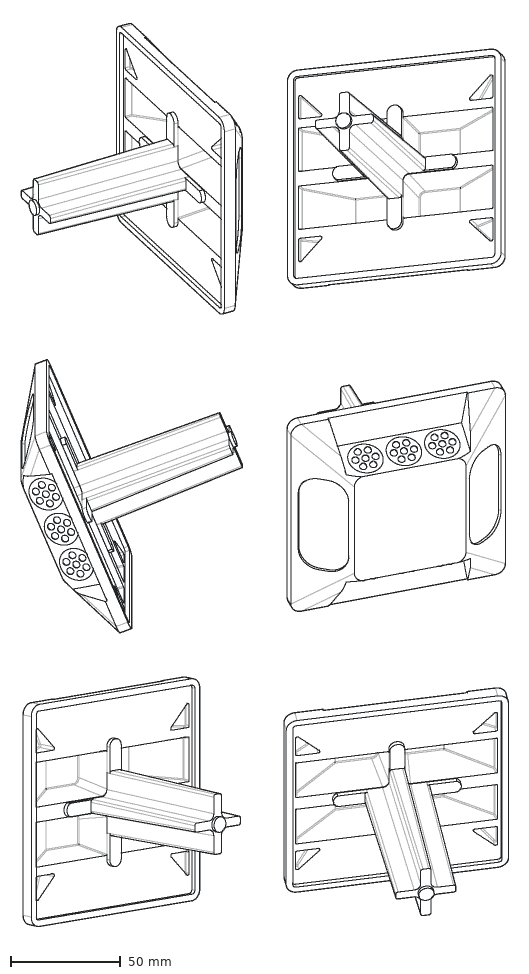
import cadquery as cq
import math


BASE_SIZE = 103.0
CORNER_RADIUS = 5.0
RIM_HEIGHT = 5.7
CAP_HEIGHT = 22.8
TOP_HALF_X = 26.8
TOP_HALF_Z = 28.8
BASE_HALF = BASE_SIZE / 2
SLOPE_RUN = BASE_HALF - TOP_HALF_X
SLOPE_RISE = CAP_HEIGHT - RIM_HEIGHT

GRIP_LENGTH = 50.1
GRIP_WIDTH = 23.9
GRIP_RADIUS = 9.8
GRIP_DEPTH = 1.3
GRIP_CENTRE_Y = 14.4

PANEL_TILT = 20.0
PANEL_TOP_Z = 28.6
PANEL_FLOOR_Y = 4.8
PANEL_HALF_WIDTH = 30.7
NOTCH_HALF_WIDTH = 33.4
PANEL_DROP = CAP_HEIGHT - PANEL_FLOOR_Y
PANEL_FOOT_Z = PANEL_TOP_Z + PANEL_DROP * math.tan(math.radians(PANEL_TILT))

REFLECTOR_RADIUS = 8.1
REFLECTOR_THICKNESS = 2.1
REFLECTOR_PITCH = 18.4
REFLECTOR_CENTRE_Y = 13.8
BEAD_RADIUS = 1.6
BEAD_PITCH = 4.8
BEADS_ON_RING = 6

RIM_WIDTH = 3.1
TRAY_DEPTH = 2.1
TRAY_RADIUS = 1.5
HOLLOW_TOP_Y = 19.4
HOLLOW_TOP_HALF_X = 25.2
HOLLOW_OUTER_X = 46.8

POCKET_OPEN_Z = (3.5, 24.3)
POCKET_ROOF_Z = (6.7, 21.6)
POCKET_ROOF_X = (5.5, 42.2)
POCKET_EDGE_RADIUS = 0.5
TRIANGLE_INNER_X = 34.4
TRIANGLE_LOW_Z = 28.6
TRIANGLE_HIGH_Z = 41.0
TRIANGLE_CORNER_RADIUS = 0.8

STEM_LENGTH = 69.7
STEM_TAPER = 0.9
LEG_REACH = 15.0
LEG_HALF_X = 3.5
LEG_HALF_Z = 3.2
LEG_EDGE_RADIUS = 1.1
STEM_FILLET = 3.0
RIB_REACH = 29.7
TIP_RADIUS = 3.6
TIP_LENGTH = 1.5


def plan(y):
    """Workplane at height y with local x = X, local y = Z and its normal along -Y."""
    return cq.Workplane("XZ", origin=(0, y, 0))


def rounded_section(y, half_x, half_z):
    """Rounded rectangle at height y, placed on the plan at Y = 0."""
    sketch = cq.Sketch().rect(2 * half_x, 2 * half_z).vertices().fillet(CORNER_RADIUS)
    return sketch.moved(cq.Location(cq.Vector(0, 0, -y)))


def make_cap():
    rim = plan(0).rect(BASE_SIZE, BASE_SIZE).extrude(-RIM_HEIGHT).edges("|Y").fillet(CORNER_RADIUS)
    base = rounded_section(RIM_HEIGHT, BASE_HALF, BASE_HALF)
    top = rounded_section(CAP_HEIGHT, TOP_HALF_X, TOP_HALF_Z)
    crown = plan(0).placeSketch(base, top).loft(ruled=True)
    return rim.union(crown)


def make_grip_cutter():
    """Rounded block sunk into the +X slope."""
    centre_x = BASE_HALF - (GRIP_CENTRE_Y - RIM_HEIGHT) * SLOPE_RUN / SLOPE_RISE
    normal = (SLOPE_RISE, SLOPE_RUN, 0)
    slope = cq.Plane(origin=(centre_x, GRIP_CENTRE_Y, 0), xDir=(0, 0, 1), normal=normal)
    outline = cq.Sketch().rect(GRIP_LENGTH, GRIP_WIDTH).vertices().fillet(GRIP_RADIUS)
    return cq.Workplane(slope).placeSketch(outline).extrude(-GRIP_DEPTH)


def make_panel_cutter():
    """Notch in the +Z slope: tilted back wall, level floor, side walls flaring outward."""
    profile = [
        (PANEL_FLOOR_Y, PANEL_FOOT_Z),
        (CAP_HEIGHT, PANEL_TOP_Z),
        (CAP_HEIGHT, BASE_HALF),
        (PANEL_FLOOR_Y, BASE_HALF),
    ]
    wedge = cq.Workplane("YZ").polyline(profile).close().extrude(BASE_HALF, both=True)
    flare = (NOTCH_HALF_WIDTH - PANEL_HALF_WIDTH) / (BASE_HALF - PANEL_FOOT_Z)
    inner_half = PANEL_HALF_WIDTH - flare * PANEL_FOOT_Z
    outline = [
        (-inner_half, 0),
        (inner_half, 0),
        (NOTCH_HALF_WIDTH, BASE_HALF),
        (-NOTCH_HALF_WIDTH, BASE_HALF),
    ]
    return wedge.intersect(plan(0).polyline(outline).close().extrude(-CAP_HEIGHT))


def make_reflector(x):
    """Disc set flush in the +Z panel, with a centre bead and a ring of beads."""
    tilt = math.radians(PANEL_TILT)
    centre_z = PANEL_FOOT_Z - (REFLECTOR_CENTRE_Y - PANEL_FLOOR_Y) * math.tan(tilt)
    normal = (0, math.sin(tilt), math.cos(tilt))
    panel = cq.Plane(origin=(x, REFLECTOR_CENTRE_Y, centre_z), xDir=(1, 0, 0), normal=normal)
    disc = cq.Workplane(panel).circle(REFLECTOR_RADIUS).extrude(-REFLECTOR_THICKNESS)
    beads = (
        cq.Workplane(panel)
        .polarArray(BEAD_PITCH, 0, 360, BEADS_ON_RING)
        .sphere(BEAD_RADIUS, combine=False)
        .add(cq.Workplane(panel).sphere(BEAD_RADIUS))
    )
    for bead in beads.vals():
        disc = disc.union(cq.Workplane(bead))
    return disc


def make_hollow_limit():
    """Space under the cap's roof, with ramps parallel to the X slopes."""
    ramp_drop = (HOLLOW_OUTER_X - HOLLOW_TOP_HALF_X) * SLOPE_RISE / SLOPE_RUN
    ramp_foot_y = HOLLOW_TOP_Y - ramp_drop
    profile = [
        (-HOLLOW_OUTER_X, 0),
        (-HOLLOW_OUTER_X, ramp_foot_y),
        (-HOLLOW_TOP_HALF_X, HOLLOW_TOP_Y),
        (HOLLOW_TOP_HALF_X, HOLLOW_TOP_Y),
        (HOLLOW_OUTER_X, ramp_foot_y),
        (HOLLOW_OUTER_X, 0),
    ]
    return cq.Workplane("XY").polyline(profile).close().extrude(BASE_HALF, both=True)


def rectangle_wire(y, x_range, z_range):
    corners = [
        (x_range[0], y, z_range[0]),
        (x_range[1], y, z_range[0]),
        (x_range[1], y, z_range[1]),
        (x_range[0], y, z_range[1]),
    ]
    return cq.Wire.makePolygon([cq.Vector(*corner) for corner in corners], close=True)


def make_pocket():
    """Drafted pocket beside the ribs, in the +X +Z quadrant."""
    opening = rectangle_wire(TRAY_DEPTH, (LEG_HALF_X, HOLLOW_OUTER_X), POCKET_OPEN_Z)
    roof = rectangle_wire(HOLLOW_TOP_Y, POCKET_ROOF_X, POCKET_ROOF_Z)
    pocket = cq.Workplane(cq.Solid.makeLoft([opening, roof], True))
    stem_corner = cq.selectors.NearestToPointSelector((LEG_HALF_X, HOLLOW_TOP_Y / 2, LEG_HALF_Z))
    pocket = pocket.edges(stem_corner).fillet(STEM_FILLET)
    pocket = pocket.intersect(make_hollow_limit())
    opening_edges = pocket.faces("<Y").edges().vals()
    stem_fillet_sides = pocket.faces(stem_corner).edges().vals()
    sharp_edges = [
        edge
        for edge in pocket.edges().vals()
        if not any(edge.isSame(kept) for kept in opening_edges + stem_fillet_sides)
    ]
    return pocket.newObject(sharp_edges).fillet(POCKET_EDGE_RADIUS)


def make_triangle():
    """Triangular pocket with a sloped floor, near the corner of the +X +Z quadrant."""
    corners = [
        (HOLLOW_OUTER_X, TRIANGLE_LOW_Z),
        (HOLLOW_OUTER_X, TRIANGLE_HIGH_Z),
        (TRIANGLE_INNER_X, TRIANGLE_LOW_Z),
    ]
    prism = plan(0).polyline(corners).close().extrude(-HOLLOW_TOP_Y)
    prism = prism.edges("|Y").fillet(TRIANGLE_CORNER_RADIUS)
    triangle = prism.intersect(make_hollow_limit())
    return triangle.faces(">Y").edges().fillet(POCKET_EDGE_RADIUS)


def make_tray():
    side = BASE_SIZE - 2 * RIM_WIDTH
    return plan(0).rect(side, side).extrude(-TRAY_DEPTH).edges("|Y").fillet(TRAY_RADIUS)


def make_leg_pair(half_x, half_z):
    """Tapered bar from the tray floor to the stem's end."""
    growth = TRAY_DEPTH * math.tan(math.radians(STEM_TAPER))
    bar = plan(TRAY_DEPTH).rect(2 * (half_x + growth), 2 * (half_z + growth))
    return bar.extrude(TRAY_DEPTH + STEM_LENGTH, taper=STEM_TAPER)


def make_stem():
    upright = make_leg_pair(LEG_HALF_X, LEG_REACH).edges("not(|X or |Z)")
    level = make_leg_pair(LEG_REACH, LEG_HALF_Z).edges("not(|X or |Z)")
    cross = upright.fillet(LEG_EDGE_RADIUS).union(level.fillet(LEG_EDGE_RADIUS))
    inner_corners = cq.selectors.BoxSelector(
        (-LEG_HALF_X, -STEM_LENGTH, -LEG_HALF_X), (LEG_HALF_X, 0, LEG_HALF_X)
    )
    cross = cross.edges(inner_corners).fillet(STEM_FILLET)
    return cross.union(plan(-STEM_LENGTH).circle(TIP_RADIUS).extrude(TIP_LENGTH))


def make_ribs():
    """Crossed ribs that fill the tray's depth, with ends of one common radius."""
    slot_length = 2 * RIB_REACH
    slot_width = 2 * LEG_HALF_X
    upright = plan(0).slot2D(slot_length, slot_width, 90).extrude(-TRAY_DEPTH)
    level = plan(0).slot2D(slot_length, slot_width).extrude(-TRAY_DEPTH)
    level = level.intersect(plan(0).rect(slot_length, 2 * LEG_HALF_Z).extrude(-TRAY_DEPTH))
    return upright.union(level)


def mirrored_copies(shape):
    """The shape in all four quadrants of the XZ plane."""
    pair = [shape, shape.mirror("YZ")]
    return pair + [half.mirror("XY") for half in pair]


def make_reflectors():
    reflectors = []
    for column in (-1, 0, 1):
        reflector = make_reflector(column * REFLECTOR_PITCH)
        reflectors += [reflector, reflector.mirror("XY")]
    return reflectors


def make_housing(reflectors):
    housing = make_cap()
    grip = make_grip_cutter()
    panel = make_panel_cutter()
    for cutter in (grip, grip.mirror("YZ"), panel, panel.mirror("XY"), make_tray()):
        housing = housing.cut(cutter)
    for shape in (make_pocket(), make_triangle()):
        for cutter in mirrored_copies(shape):
            housing = housing.cut(cutter)
    housing = housing.union(make_ribs()).union(make_stem())
    for reflector in reflectors:
        housing = housing.cut(reflector)
    return housing


reflectors = make_reflectors()
housing = make_housing(reflectors)
result = cq.Compound.makeCompound([housing.val(), *[reflector.val() for reflector in reflectors]])